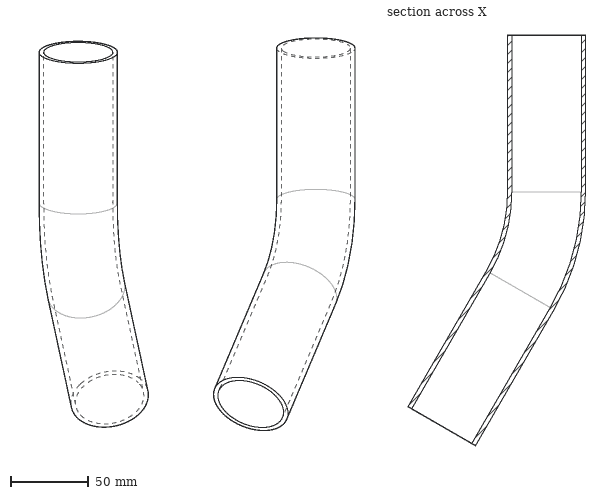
import cadquery as cq
import math

outer_diameter = 50.8
inner_diameter = 44.7
leg_length = 101.6
bend_radius = 2.5 * outer_diameter
bend_angle = 30.0

bend_angle_rad = math.radians(bend_angle)
bend_mid_rad = bend_angle_rad / 2


def point_on_bend(angle):
    """(Y, Z) on the bend centreline, which starts at the origin heading down and curves toward +Y."""
    return (bend_radius * (1 - math.cos(angle)), -bend_radius * math.sin(angle))


def tube_centreline():
    """Upper leg, bend and lower leg, tangent to each other, from the top end down."""
    bend_start = (0, 0)
    bend_end = point_on_bend(bend_angle_rad)
    lower_end = (
        bend_end[0] + leg_length * math.sin(bend_angle_rad),
        bend_end[1] - leg_length * math.cos(bend_angle_rad),
    )
    return (
        cq.Workplane("YZ")
        .moveTo(0, leg_length)
        .lineTo(*bend_start)
        .threePointArc(point_on_bend(bend_mid_rad), bend_end)
        .lineTo(*lower_end)
    )


def bent_tube():
    """Ring section at the top end, swept along the centreline and open at both ends."""
    return (
        cq.Workplane("XY")
        .workplane(offset=leg_length)
        .circle(outer_diameter / 2)
        .circle(inner_diameter / 2)
        .sweep(tube_centreline())
    )


result = bent_tube()